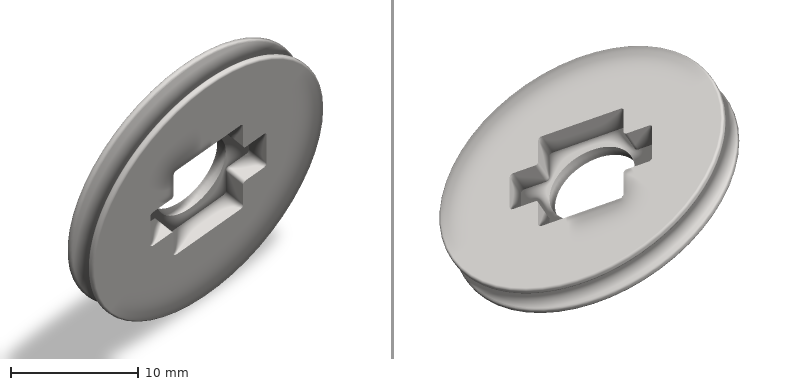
import cadquery as cq

width = 3.0
outer_radius = 12.5
rim_width = 0.5
groove_depth = 3.0
rim_fillet = 0.2

bore_radius = 3.75
web_thickness = 1.0
upright_width = 7.5
upright_height = 10.0
crossbar_length = 12.5
crossbar_height = 4.0
pocket_corner_radius = 0.3

pocket_depth = width - web_thickness


def make_wheel():
    """Disc about the X axis with a V groove between two rounded rims."""
    middle = width / 2
    profile = (
        cq.Workplane("XY")
        .polyline([
            (-middle, 0),
            (-middle, outer_radius),
            (-middle + rim_width, outer_radius),
            (0, outer_radius - groove_depth),
            (middle - rim_width, outer_radius),
            (middle, outer_radius),
            (middle, 0),
        ])
        .close()
    )
    wheel = profile.revolve(360, (0, 0, 0), (1, 0, 0))
    rim_edges = cq.selectors.RadiusNthSelector(-1)
    return wheel.edges(rim_edges).fillet(rim_fillet)


def make_pocket():
    """Cross-shaped cutter, open on the +X face, with rounded corners."""
    floor = cq.Workplane("YZ", origin=(-width / 2 + web_thickness, 0, 0))
    upright = floor.rect(upright_width, upright_height).extrude(pocket_depth)
    crossbar = floor.rect(crossbar_length, crossbar_height).extrude(pocket_depth)
    return upright.union(crossbar).edges("|X").fillet(pocket_corner_radius)


bore = cq.Workplane("YZ").circle(bore_radius).extrude(width / 2, both=True)

result = make_wheel().cut(bore).cut(make_pocket())